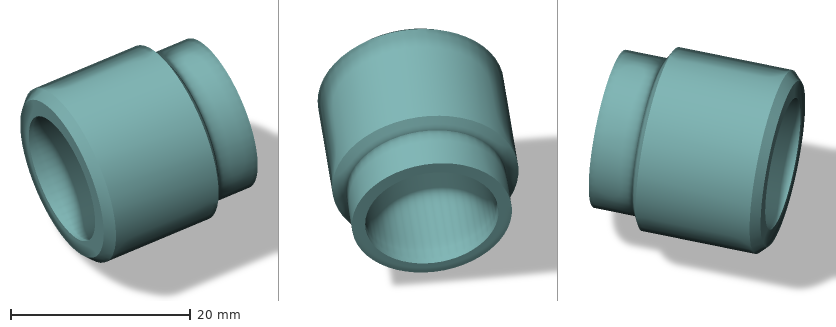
import cadquery as cq
import math

length = 20.0
bore_diameter = 15.0
body_diameter = 20.95
spigot_diameter = 18.0
spigot_length = 5.0
front_chamfer = 1.0
shoulder_angle = 30.0

bore_radius = bore_diameter / 2
body_radius = body_diameter / 2
spigot_radius = spigot_diameter / 2
shoulder_rise = body_radius - spigot_radius
shoulder_length = shoulder_rise * math.tan(math.radians(shoulder_angle))
spigot_start = length - spigot_length


def make_bushing():
    """Revolve the wall section (X = radius, Y = axial position) about the Y axis."""
    wall_section = (
        cq.Workplane("XY")
        .moveTo(bore_radius, 0)
        .lineTo(body_radius - front_chamfer, 0)
        .lineTo(body_radius, front_chamfer)
        .lineTo(body_radius, spigot_start - shoulder_length)
        .lineTo(spigot_radius, spigot_start)
        .lineTo(spigot_radius, length)
        .lineTo(bore_radius, length)
        .close()
    )
    return wall_section.revolve(360, (0, 0, 0), (0, 1, 0))


result = make_bushing()